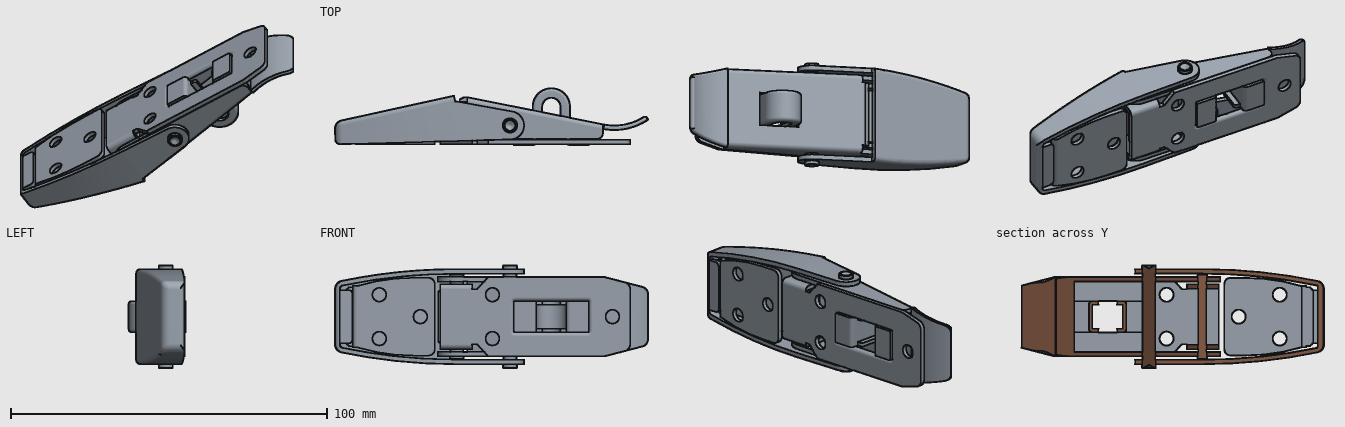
import cadquery as cq
import math


SHEET = 1.5
FAR = 59.5
MARGIN = 1.0
GAP = 0.1

LINK_PIVOT = (55.4, 5.9)
BASE_PIVOT = (38.6, 7.5)
PIN_RADIUS = 2.1
HEAD_RADIUS = 2.3
HEAD_FILLET = 0.5
RECESS_RADIUS = 1.7
RECESS_DEPTH = 1.0
LINK_PIN_HALF = 16.3
BASE_PIN_HALF = 13.4

SCREW_DIAMETER = 4.4
SCREW_OFFSET = 6.9

LINK_TILT = 1.6
LINK_HALF = 15.1
LINK_LENGTH = 55.4
ARM_RADIUS = 4.5
CURVE_LENGTH = 17.0
SIDE_RADIUS = 178.4
ROOF_ANGLE = 10.8
ROOF_LENGTH = 17.4
ROOF_HEIGHT = 9.9
END_FILLET = 2.8
ROOF_FILLET = 1.5
ROOF_EDGE = 1.8
BOTTOM_FILLET = 1.6
LIP_LENGTH = 5.5
LIP_HALF = 8.4
LIP_CORNER = 1.2

STRIKE_LEFT = 5.65
STRIKE_RIGHT = 31.6
STRIKE_END_HALF = 9.7
STRIKE_HALF = 12.3
STRIKE_CURVE_END = 24.8
STRIKE_CORNER = 2.0
STRIKE_SCREWS = [(14.1, SCREW_OFFSET), (14.1, -SCREW_OFFSET), (27.1, 0)]
HOOK_TIP = 3.5
HOOK_BOTTOM = 1.8
HOOK_HALF = 9.3
HOOK_CHAMFER = 1.0

BODY_HALF = 12.6
TAPER_START = 85.3
TAPER_ANGLE = 14.6
BASE_LEFT = 33.3
BASE_RIGHT = 93.5
BASE_CORNER = 2.5
EAR_HALF = 10.3
EAR_BEND = 1.6
EAR_LENGTH = 10.1
NOTCH_END = 45.0
SHOULDER_START = 48.6
BASE_SCREWS = [(49.9, SCREW_OFFSET), (49.9, -SCREW_OFFSET), (87.8, 0)]

STAPLE_X = 68.5
FOOT_LENGTH = 23.8
STAPLE_HALF = 5.0
WINDOW_CORNER = 0.4
RIM_RADIUS = 1.2
FOOT_BOTTOM = -0.3
STAPLE_TOP = 17.7
LOOP_RADIUS = 5.9
LOOP_WALL = 1.2
EYE_RADIUS = 2.9
LOOP_FILLET = 1.1
FLANGE_BOTTOM = 2.5
FLANGE_FILLET = 0.8

HANDLE_ANGLE = 11.3
HANDLE_LEFT = 41.8
HANDLE_RIGHT = 84.9
WALL_BOTTOM = SHEET + GAP
WALL_CORNER = 2.0
NOSE_LEFT = 39.5
NOSE_HALF = 10.1
TONGUE_LEFT = 32.7
TONGUE_HALF = 8.2
TONGUE_CORNER = 0.6
TONGUE_DROP = 4.4
TAIL_CENTRE = (88.4, 23.3)
TAIL_RADIUS = 18.8
TAIL_END = 99.1
TAIL_CORNER = 2.5
TAIL_FILLET = 0.7
SLOT_GAP = 0.3


def side(points):
    """Closed XY outline through the points."""
    return cq.Workplane("XY").polyline(points).close()


def extrude_across(outline, half_width):
    """Extrude an XY outline symmetrically across the latch."""
    return outline.extrude(half_width, both=True)


def block(left, right, bottom, top, half_width):
    """Box between two X places and two Y places, centred across the latch."""
    size = (right - left, top - bottom, 2 * half_width)
    corner = (left, bottom, 0)
    return cq.Workplane("XY").box(*size, centered=(False, False, True)).translate(corner)


def across_cylinder(centre, radius, half_width):
    """Cylinder with its axis along Z."""
    return extrude_across(cq.Workplane("XY").center(*centre).circle(radius), half_width)


def plan():
    """Sketch plane at Y = 0 whose coordinates are X and Z."""
    return cq.Workplane("XZ")


def plan_prism(outline, bottom, top):
    """Prism over a plan outline, between two Y places."""
    return outline.extrude(bottom - top).translate((0, bottom, 0))


def screw_holes(places):
    """Cutting cylinders along Y at (X, Z) places."""
    return plan_prism(plan().pushPoints(places).circle(SCREW_DIAMETER / 2), -FAR, FAR)


def make_pin(centre, half_length, head_start):
    """Rivet pin with a rounded head and a conical recess at both ends."""
    pin = across_cylinder(centre, PIN_RADIUS, half_length)
    for end in (1, -1):
        head = (
            cq.Workplane("XY", origin=(*centre, end * head_start))
            .circle(HEAD_RADIUS)
            .extrude(end * (half_length - head_start))
            .faces(">Z" if end > 0 else "<Z")
            .edges()
            .fillet(HEAD_FILLET)
        )
        recess = cq.Solid.makeCone(
            RECESS_RADIUS, 0, RECESS_DEPTH,
            cq.Vector(*centre, end * half_length), cq.Vector(0, 0, -end),
        )
        pin = pin.union(head).cut(cq.Workplane(obj=recess))
    return pin


def link_plan(inset):
    """Plan outline of the link, measured from the pivot and moved inwards by inset."""
    half = LINK_HALF - inset
    radius = SIDE_RADIUS - inset
    left = inset - LINK_LENGTH
    run = -CURVE_LENGTH - left
    middle = run / 2

    def half_at(distance):
        return half - radius + math.sqrt(radius**2 - distance**2)

    right = ARM_RADIUS + inset
    return (
        plan()
        .moveTo(left, -half_at(run))
        .threePointArc((-CURVE_LENGTH - middle, -half_at(middle)), (-CURVE_LENGTH, -half))
        .lineTo(right, -half)
        .lineTo(right, half)
        .lineTo(-CURVE_LENGTH, half)
        .threePointArc((-CURVE_LENGTH - middle, half_at(middle)), (left, half_at(run)))
        .close()
    )


def make_link():
    """Hollow cover, shaped about the pivot as origin and then tilted into place."""
    slope = math.radians(ROOF_ANGLE)
    floor = -ARM_RADIUS
    end_height = ROOF_HEIGHT - (LINK_LENGTH - ROOF_LENGTH) * math.tan(slope)
    high_edge = (-ROOF_LENGTH, ROOF_HEIGHT)
    arm_start = (high_edge[0] + ROOF_EDGE * math.sin(slope), high_edge[1] - ROOF_EDGE * math.cos(slope))

    reach = math.hypot(*arm_start)
    tangent = math.atan2(arm_start[1], arm_start[0]) - math.acos(ARM_RADIUS / reach)
    arm_tangent = (ARM_RADIUS * math.cos(tangent), ARM_RADIUS * math.sin(tangent))

    profile = (
        cq.Workplane("XY")
        .moveTo(-LINK_LENGTH, floor)
        .lineTo(-LINK_LENGTH, end_height)
        .lineTo(*high_edge)
        .lineTo(*arm_start)
        .lineTo(*arm_tangent)
        .threePointArc((ARM_RADIUS, 0), (0, floor))
        .close()
    )
    body = extrude_across(profile, FAR).intersect(plan_prism(link_plan(0), -FAR, FAR))
    end_edges = cq.selectors.BoxSelector(
        (-LINK_LENGTH - MARGIN, floor + MARGIN, -FAR), (-LINK_LENGTH + MARGIN, end_height + MARGIN, FAR)
    )
    body = body.edges(end_edges).fillet(END_FILLET)
    roof_sides = cq.selectors.BoxSelector(
        (END_FILLET - LINK_LENGTH, 0, -FAR), (-ROOF_LENGTH - MARGIN, ROOF_HEIGHT, FAR)
    )
    body = body.edges(roof_sides).edges("not |Z").fillet(ROOF_FILLET)

    rounded_block = block(-LINK_LENGTH, FAR, floor, FAR, FAR).edges("<X and <Y").fillet(BOTTOM_FILLET)
    body = body.intersect(rounded_block)

    roof_drop = SHEET / math.cos(slope)
    inner_left = SHEET - LINK_LENGTH
    inner_height = end_height + SHEET * math.tan(slope) - roof_drop
    inner_profile = side([
        (inner_left, floor - MARGIN),
        (inner_left, inner_height),
        (FAR, inner_height + (FAR - inner_left) * math.tan(slope)),
        (FAR, floor - MARGIN),
    ])
    hollow = extrude_across(inner_profile, FAR).intersect(plan_prism(link_plan(SHEET), -FAR, FAR))
    hollow = hollow.edges("<X").fillet(END_FILLET - SHEET)
    body = body.cut(hollow)

    lip = block(inner_left, LIP_LENGTH - LINK_LENGTH, floor, floor + SHEET, LIP_HALF)
    lip = lip.edges(">X and |Y").fillet(LIP_CORNER)
    body = body.union(lip).cut(across_cylinder((0, 0), PIN_RADIUS, FAR))
    return body.rotate((0, 0, 0), (0, 0, 1), LINK_TILT).translate((*LINK_PIVOT, 0))


def make_strike():
    rise = STRIKE_HALF - STRIKE_END_HALF
    flange_right = STRIKE_LEFT + SHEET
    run = STRIKE_CURVE_END - flange_right
    radius = (run**2 + rise**2) / (2 * rise)
    middle = STRIKE_HALF - radius + math.sqrt(radius**2 - (run / 2) ** 2)
    middle_x = flange_right + run / 2
    outline = (
        plan()
        .moveTo(STRIKE_LEFT, -STRIKE_END_HALF)
        .lineTo(flange_right, -STRIKE_END_HALF)
        .threePointArc((middle_x, -middle), (STRIKE_CURVE_END, -STRIKE_HALF))
        .lineTo(STRIKE_RIGHT, -STRIKE_HALF)
        .lineTo(STRIKE_RIGHT, STRIKE_HALF)
        .lineTo(STRIKE_CURVE_END, STRIKE_HALF)
        .threePointArc((middle_x, middle), (flange_right, STRIKE_END_HALF))
        .lineTo(STRIKE_LEFT, STRIKE_END_HALF)
        .close()
    )
    plate = plan_prism(outline, 0, SHEET)
    plate = plate.edges("|Y and >X").fillet(STRIKE_CORNER)
    plate = plate.edges("<X and <Y").fillet(SHEET - GAP)
    hook_top = HOOK_BOTTOM + SHEET
    flange = block(STRIKE_LEFT, flange_right, SHEET, hook_top, STRIKE_END_HALF)
    hook = block(HOOK_TIP, flange_right, HOOK_BOTTOM, hook_top, HOOK_HALF)
    hook = hook.edges("|Y and <X").chamfer(HOOK_CHAMFER)
    return plate.union(flange).union(hook).cut(screw_holes(STRIKE_SCREWS))


def staple_foot(bottom, top):
    """Rectangle of the staple feet, which also fits the window in the base."""
    half_length = FOOT_LENGTH / 2
    foot = block(STAPLE_X - half_length, STAPLE_X + half_length, bottom, top, STAPLE_HALF)
    return foot.edges("|Y").fillet(WINDOW_CORNER)


def half_width_at(x):
    """Half width of the tapered right part of base and handle."""
    return BODY_HALF - (x - TAPER_START) * math.tan(math.radians(TAPER_ANGLE))


def mirrored_outline(points):
    """Closed plan outline from its +Z half, listed from left to right."""
    mirrored = [(x, -z) for x, z in reversed(points)]
    return plan().polyline(points + mirrored).close()


def make_base():
    flat_half = EAR_HALF - EAR_BEND
    outline = mirrored_outline([
        (BASE_LEFT, flat_half),
        (NOTCH_END, flat_half),
        (SHOULDER_START, BODY_HALF),
        (TAPER_START, BODY_HALF),
        (BASE_RIGHT, half_width_at(BASE_RIGHT)),
    ])
    plate = plan_prism(outline, 0, SHEET).edges("|Y and >X").fillet(BASE_CORNER)

    ear_middle = BASE_LEFT + EAR_LENGTH / 2
    ear_outline = (
        cq.Workplane("XY")
        .moveTo(BASE_LEFT, 0)
        .lineTo(BASE_LEFT, BASE_PIVOT[1])
        .threePointArc((ear_middle, BASE_PIVOT[1] + EAR_LENGTH / 2), (BASE_LEFT + EAR_LENGTH, BASE_PIVOT[1]))
        .lineTo(BASE_LEFT + EAR_LENGTH, 0)
        .close()
    )
    ears = extrude_across(ear_outline, EAR_HALF).edges("|X and <Y").fillet(EAR_BEND)
    ear_gap = block(0, FAR, SHEET, FAR, EAR_HALF - SHEET)
    base = plate.union(ears.cut(ear_gap))

    base = base.cut(staple_foot(0, SHEET))
    rim = base.faces("<Y").edges(cq.selectors.BoxSelector(
        (STAPLE_X - FOOT_LENGTH / 2 - MARGIN, -MARGIN, -STAPLE_HALF - MARGIN),
        (STAPLE_X + FOOT_LENGTH / 2 + MARGIN, MARGIN, STAPLE_HALF + MARGIN),
    ))
    base = rim.fillet(RIM_RADIUS)
    return base.cut(screw_holes(BASE_SCREWS)).cut(across_cylinder(BASE_PIVOT, PIN_RADIUS, FAR))


def arch(radius, bottom, centre_y, half_width):
    """Upright block with a half-round top, centred on the staple."""
    outline = (
        cq.Workplane("XY")
        .moveTo(STAPLE_X - radius, bottom)
        .lineTo(STAPLE_X - radius, centre_y)
        .threePointArc((STAPLE_X, centre_y + radius), (STAPLE_X + radius, centre_y))
        .lineTo(STAPLE_X + radius, bottom)
        .close()
    )
    return extrude_across(outline, half_width)


def make_staple():
    centre_y = STAPLE_TOP - LOOP_RADIUS
    loop = arch(LOOP_RADIUS, FOOT_BOTTOM, centre_y, STAPLE_HALF)
    loop = loop.faces("<Z or >Z").edges("not <Y").fillet(LOOP_FILLET)
    feet = staple_foot(FOOT_BOTTOM, SHEET)
    inner = LOOP_RADIUS - LOOP_WALL
    hollow = arch(inner, FOOT_BOTTOM, centre_y, STAPLE_HALF - LOOP_WALL)
    gap = block(STAPLE_X - inner, STAPLE_X + inner, FOOT_BOTTOM, FLANGE_BOTTOM, STAPLE_HALF)
    eye = arch(EYE_RADIUS, FOOT_BOTTOM, centre_y, FAR)
    staple = loop.union(feet).cut(hollow).cut(gap).cut(eye)
    flange_edges = cq.selectors.BoxSelector(
        (STAPLE_X - EYE_RADIUS - GAP, FLANGE_BOTTOM - GAP, -FAR),
        (STAPLE_X + EYE_RADIUS + GAP, FLANGE_BOTTOM + GAP, FAR),
    )
    staple = staple.edges(flange_edges).edges("|Z").fillet(FLANGE_FILLET)
    bends = cq.selectors.BoxSelector(
        (STAPLE_X - LOOP_RADIUS, FOOT_BOTTOM - MARGIN, -MARGIN),
        (STAPLE_X + LOOP_RADIUS, FOOT_BOTTOM + MARGIN, MARGIN),
    )
    return staple.faces("<Y").edges(bends).fillet(LOOP_WALL)


def make_handle():
    slope = math.radians(HANDLE_ANGLE)
    down = (-math.sin(slope), -math.cos(slope))

    def tail_point(radius, direction):
        return (TAIL_CENTRE[0] + radius * direction[0], TAIL_CENTRE[1] + radius * direction[1])

    inner_radius = TAIL_RADIUS - SHEET
    tail_top = tail_point(inner_radius, down)

    def top_at(x):
        return tail_top[1] - (x - tail_top[0]) * math.tan(slope)

    roof_drop = SHEET / math.cos(slope)
    ear_radius = BASE_PIVOT[1] - WALL_BOTTOM

    profile = side([
        (BASE_PIVOT[0], WALL_BOTTOM),
        (HANDLE_RIGHT, WALL_BOTTOM),
        (HANDLE_RIGHT, top_at(HANDLE_RIGHT)),
        (HANDLE_LEFT, top_at(HANDLE_LEFT)),
        (HANDLE_LEFT, BASE_PIVOT[1] + ear_radius),
        (BASE_PIVOT[0], BASE_PIVOT[1] + ear_radius),
    ])
    body = extrude_across(profile, BODY_HALF)
    long_edges = cq.selectors.BoxSelector(
        (BASE_PIVOT[0] + ear_radius, BASE_PIVOT[1], -FAR), (HANDLE_RIGHT - MARGIN, FAR, FAR)
    )
    body = body.edges(long_edges).fillet(SHEET)
    body = body.edges("|Z and >X and <Y").fillet(WALL_CORNER)
    body = body.union(across_cylinder(BASE_PIVOT, ear_radius, BODY_HALF))
    hollow = side([
        (0, 0),
        (TAIL_END, 0),
        (TAIL_END, top_at(TAIL_END) - roof_drop),
        (HANDLE_LEFT, top_at(HANDLE_LEFT) - roof_drop),
        (HANDLE_LEFT, FAR),
        (0, FAR),
    ])
    body = body.cut(extrude_across(hollow, BODY_HALF - SHEET))

    nose_top = top_at(HANDLE_LEFT)
    nose = side([
        (HANDLE_LEFT, nose_top),
        (NOSE_LEFT + SHEET, nose_top),
        (NOSE_LEFT, nose_top - SHEET / 2),
        (NOSE_LEFT, nose_top - SHEET),
        (HANDLE_LEFT, top_at(HANDLE_LEFT) - roof_drop),
    ])
    riser_right = NOSE_LEFT + SHEET
    riser = side([
        (NOSE_LEFT, nose_top - SHEET),
        (riser_right, nose_top - SHEET),
        (riser_right, top_at(riser_right) - TONGUE_DROP),
        (NOSE_LEFT, top_at(NOSE_LEFT) - TONGUE_DROP),
    ])
    tongue = side([
        (TONGUE_LEFT, top_at(TONGUE_LEFT) - TONGUE_DROP),
        (riser_right, top_at(riser_right) - TONGUE_DROP),
        (riser_right, top_at(riser_right) - TONGUE_DROP - roof_drop),
        (TONGUE_LEFT, top_at(TONGUE_LEFT) - TONGUE_DROP - roof_drop),
    ])
    body = body.union(extrude_across(nose, NOSE_HALF))
    body = body.union(extrude_across(riser, TONGUE_HALF))
    tongue_plate = extrude_across(tongue, TONGUE_HALF).edges("<X and (not |Z)").fillet(TONGUE_CORNER)
    body = body.union(tongue_plate)

    sweep = math.asin((TAIL_END - TAIL_CENTRE[0]) / TAIL_RADIUS)
    tip = (math.sin(sweep), -math.cos(sweep))
    lowest = (0, -1)
    tail = (
        cq.Workplane("XY")
        .moveTo(*tail_top)
        .threePointArc(tail_point(inner_radius, lowest), tail_point(inner_radius, tip))
        .lineTo(*tail_point(TAIL_RADIUS, tip))
        .threePointArc(tail_point(TAIL_RADIUS, lowest), tail_point(TAIL_RADIUS, down))
        .close()
    )
    tail_outline = mirrored_outline([
        (HANDLE_RIGHT - SHEET, BODY_HALF),
        (TAPER_START, BODY_HALF),
        (TAIL_END, half_width_at(TAIL_END)),
    ])
    tail_limit = plan_prism(tail_outline, 0, FAR).edges("|Y and >X").fillet(TAIL_CORNER)
    curl = extrude_across(tail, BODY_HALF).intersect(tail_limit)
    curl = curl.faces(cq.selectors.NearestToPointSelector((*tail_point(inner_radius, lowest), 0))).edges(
        cq.selectors.BoxSelector((TAPER_START + MARGIN, 0, -FAR), (TAIL_END - SHEET / 2, FAR, FAR))
    ).fillet(TAIL_FILLET)
    body = body.union(curl)

    slot_half = LOOP_RADIUS + SLOT_GAP
    slot = block(STAPLE_X - slot_half, STAPLE_X + slot_half, 0, FAR, STAPLE_HALF + SLOT_GAP)
    body = body.cut(slot)
    for pivot in (LINK_PIVOT, BASE_PIVOT):
        body = body.cut(across_cylinder(pivot, PIN_RADIUS, FAR))
    return body


link = make_link()
strike = make_strike()
base = make_base()
staple = make_staple()
handle = make_handle()
link_pin = make_pin(LINK_PIVOT, LINK_PIN_HALF, LINK_HALF)
base_pin = make_pin(BASE_PIVOT, BASE_PIN_HALF, BODY_HALF)

result = cq.Compound.makeCompound([
    link.val(),
    strike.val(),
    base.val(),
    staple.val(),
    handle.val(),
    link_pin.val(),
    base_pin.val(),
])